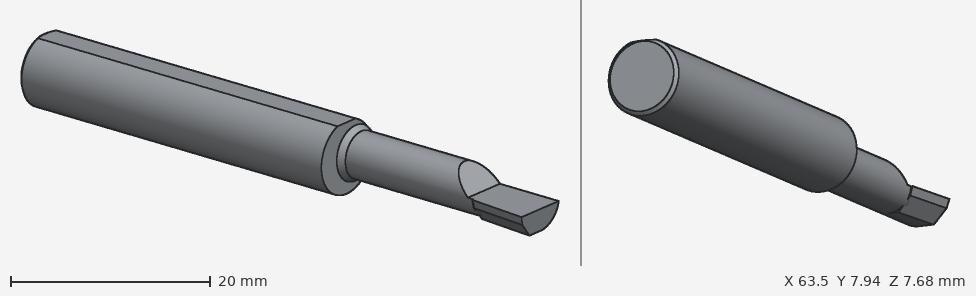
import cadquery as cq
import math

total_length = 63.5
shank_radius = 3.97
shank_length = 39.25
shank_chamfer = 0.4
flat_width = 2.85
flat_height = math.sqrt(shank_radius**2 - (flat_width / 2) ** 2)

neck_radius = 2.55
neck_offset = shank_radius - neck_radius
collar_length = 0.75
collar_rise = 0.45
ramp_end = 55.9

head_start = 56.6
head_tip_y = -1.9
side_taper = 5.0
land_height = 0.95
land_relief = 0.25
heel_width = 1.35
end_relief = 7.0
margin = 0.65


def make_shank():
    """Round bar with a chamfered rear end and one narrow flat along its top."""
    bar = cq.Workplane("YZ").circle(shank_radius).extrude(shank_length)
    bar = bar.faces("<X").chamfer(shank_chamfer)
    above_flat = (
        cq.Workplane("XY", origin=(0, 0, flat_height))
        .rect(2 * total_length, 4 * shank_radius)
        .extrude(shank_radius)
    )
    return bar.cut(above_flat)


def make_neck():
    """Offset neck and collar, kept inside the shank cylinder."""
    collar_radius = neck_radius + collar_rise
    neck = (
        cq.Workplane("XY")
        .moveTo(shank_length, 0)
        .lineTo(shank_length, -collar_radius)
        .lineTo(shank_length + collar_length, -neck_radius)
        .lineTo(total_length, -neck_radius)
        .lineTo(total_length, 0)
        .close()
        .revolve(360, (0, 0, 0), (1, 0, 0))
        .translate((0, neck_offset, 0))
    )
    envelope = cq.Workplane("YZ").circle(shank_radius).extrude(total_length)
    neck = neck.intersect(envelope)
    above_rake_face = (
        cq.Workplane("XZ", origin=(0, 2 * shank_radius, 0))
        .moveTo(ramp_end, 0)
        .lineTo(total_length + margin, 0)
        .lineTo(total_length + margin, 2 * neck_radius)
        .lineTo(ramp_end - 2 * neck_radius, 2 * neck_radius)
        .close()
        .extrude(4 * shank_radius)
    )
    return neck.cut(above_rake_face)


def head_section(edge_y):
    """Head cross-section in Y and Z: narrow relieved land, then a sloping heel."""
    land_y = edge_y + land_relief
    return [
        (neck_offset, 0),
        (edge_y, 0),
        (land_y, -land_height),
        (land_y + heel_width, -neck_radius),
        (neck_offset, -neck_radius),
    ]


def make_head():
    """Head that widens towards the tip on its -Y side."""
    head_length = total_length - head_start
    start_y = head_tip_y + head_length * math.tan(math.radians(side_taper))
    return (
        cq.Workplane("YZ", origin=(head_start, 0, 0))
        .polyline(head_section(start_y))
        .close()
        .workplane(offset=head_length)
        .polyline(head_section(head_tip_y))
        .close()
        .loft(ruled=True)
    )


def make_end_relief():
    """Wedge that leans the end face back below the cutting edge."""
    depth = 2 * neck_radius
    return (
        cq.Workplane("XZ", origin=(0, 2 * shank_radius, 0))
        .moveTo(total_length, 0)
        .lineTo(total_length + margin, 0)
        .lineTo(total_length + margin, -depth)
        .lineTo(total_length - depth * math.tan(math.radians(end_relief)), -depth)
        .close()
        .extrude(4 * shank_radius)
    )


tool = make_shank().union(make_neck()).union(make_head())
result = tool.cut(make_end_relief())